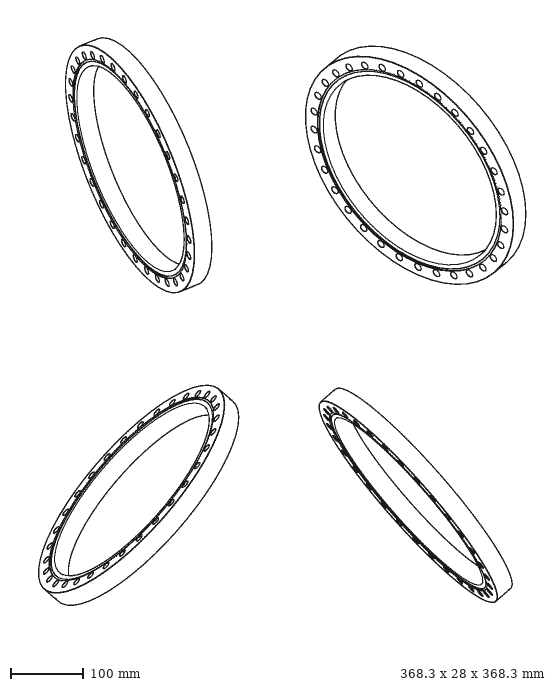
import cadquery as cq
import math

outer_diameter = 368.3
thickness = 28.0
bore_diameter = 305.7
edge_chamfer = 0.55

recess_diameter = 325.2
knife_edge_diameter = 319.5
knife_edge_depth = 0.7
knife_angle = 20.0
land_diameter = 318.5
land_depth = 1.0

bolt_count = 32
bolt_circle_diameter = 338.0
bolt_hole_diameter = 10.5
bolt_hole_chamfer = 0.5
bolt_pattern_turn = -0.4

outer_radius = outer_diameter / 2
bore_radius = bore_diameter / 2
recess_radius = recess_diameter / 2
knife_edge_radius = knife_edge_diameter / 2
land_radius = land_diameter / 2
flank_width = recess_radius - knife_edge_radius
recess_depth = knife_edge_depth + flank_width * math.tan(math.radians(knife_angle))
front_y = -thickness / 2
back_y = thickness / 2


def flange_ring():
    """Half section of the ring, revolved about the Y axis."""
    section = (
        cq.Workplane("XY")
        .moveTo(bore_radius, back_y)
        .lineTo(outer_radius, back_y)
        .lineTo(outer_radius, front_y + edge_chamfer)
        .lineTo(outer_radius - edge_chamfer, front_y)
        .lineTo(recess_radius, front_y)
        .lineTo(recess_radius, front_y + recess_depth)
        .lineTo(knife_edge_radius, front_y + knife_edge_depth)
        .lineTo(land_radius, front_y + land_depth)
        .lineTo(bore_radius, front_y + land_depth)
        .close()
    )
    return section.revolve(360, (0, 0, 0), (0, 1, 0))


def bolt_hole():
    """Cutter for one through hole along the Y axis, chamfered at the sealing face."""
    hole_radius = bolt_hole_diameter / 2
    section = (
        cq.Workplane("XY")
        .moveTo(0, front_y)
        .lineTo(hole_radius + bolt_hole_chamfer, front_y)
        .lineTo(hole_radius, front_y + bolt_hole_chamfer)
        .lineTo(hole_radius, back_y)
        .lineTo(0, back_y)
        .close()
    )
    return section.revolve(360, (0, 0, 0), (0, 1, 0))


def drill_bolt_circle(ring):
    """Cut the evenly spaced holes; the turned X axis falls midway between two of them."""
    pitch = 360 / bolt_count
    hole = bolt_hole()
    for i in range(bolt_count):
        angle = math.radians((i + 0.5) * pitch + bolt_pattern_turn)
        x = bolt_circle_diameter / 2 * math.cos(angle)
        z = bolt_circle_diameter / 2 * math.sin(angle)
        ring = ring.cut(hole.translate((x, 0, z)))
    return ring


result = drill_bolt_circle(flange_ring())